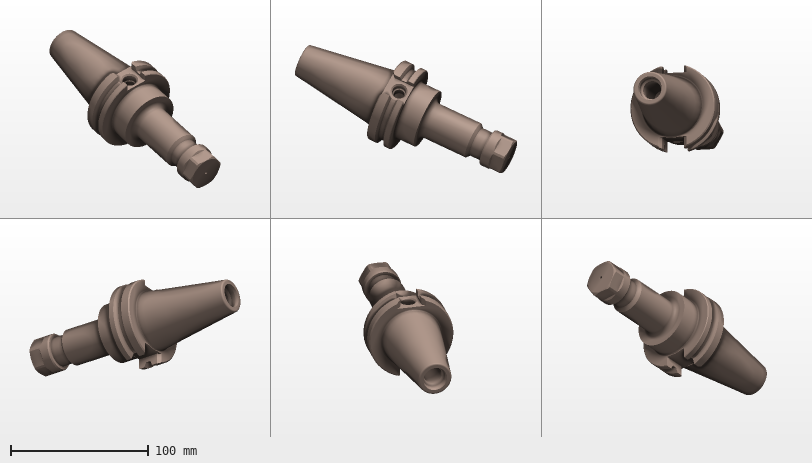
import cadquery as cq
import math

OVERALL_LENGTH = 169.9

TAPER_LENGTH = 68.1
GAUGE_DIAMETER = 44.5
TAPER_RATIO = 7 / 24
SHANK_END_FILLET = 1.4
FLANGE_ROOT_FILLET = 1.0

FLANGE_START = TAPER_LENGTH + FLANGE_ROOT_FILLET
FLANGE_END = 87.3
FLANGE_DIAMETER = 63.4
FLANGE_REAR_CHAMFER = 0.8
FLANGE_FRONT_CHAMFER = 0.5
GROOVE_DIAMETER = 56.0
GROOVE_FLOOR_START = 77.5
GROOVE_FLOOR_END = 81.0
GROOVE_REAR_RUN = 1.5
GROOVE_FRONT_RUN = 1.9

SLOT_WIDTH = 16.3
UPPER_SLOT_FLOOR = 25.0
LOWER_SLOT_FLOOR = 22.6
SLOT_MOUTH_LENGTH = 2.4
SLOT_MOUTH_WIDENING = 2.5

SLOT_HOLE_X = 79.5
SLOT_HOLE_MOUTH_DIAMETER = 12.4
SLOT_HOLE_DIAMETER = 10.2
SLOT_HOLE_DRILL_DIAMETER = 8.0
SLOT_HOLE_DEPTH = 5.6
SLOT_HOLE_DRILL_DEPTH = 11.9

COLLAR_DIAMETER = 44.5
COLLAR_END = 103.0
STEM_DIAMETER = 27.3
STEM_ROOT_FILLET = 3.4
STEM_END = 140.5
NECK_DIAMETER = 22.0
NECK_START = 142.9
NECK_END = 164.8

BORE_MOUTH_DIAMETER = 17.8
BORE_MOUTH_LENGTH = 2.0
PILOT_DIAMETER = 16.5
PILOT_END = 5.6
THREAD_BORE_DIAMETER = 13.5
THREAD_BORE_END = 42.5
COOLANT_BORE_DIAMETER = 9.7
DRILL_HALF_ANGLE = 59.0

COLLET_START = 143.5
COLLET_REAR_DIAMETER = 11.2
COLLET_HALF_ANGLE = 8.0
COLLET_NOSE_DIAMETER = 12.4
COLLET_REAR_BORE_DIAMETER = 6.1
COLLET_REAR_BORE_LENGTH = 10.2
COLLET_BORE_DIAMETER = 2.2

NUT_START = 152.2
NUT_DIAMETER = 28.0
NUT_REAR_CHAMFER_LENGTH = 1.0
NUT_REAR_CHAMFER_HEIGHT = 0.7
NUT_FRONT_CHAMFER_LENGTH = 0.8
NUT_FRONT_CHAMFER_HEIGHT = 1.7
FLAT_COUNT = 6
FLAT_START = 160.5
LONG_FLAT_INDEX = 5
LONG_FLAT_EXTRA = 1.5
FLAT_RUNOUT_LENGTH = 1.0
ACROSS_FLATS = 25.1

ARC_MIDPOINT_OFFSET = 1 - math.sqrt(0.5)
FLANGE_RADIUS = FLANGE_DIAMETER / 2
GAUGE_RADIUS = GAUGE_DIAMETER / 2
SHANK_END_RADIUS = GAUGE_RADIUS - TAPER_LENGTH * TAPER_RATIO / 2
NUT_RADIUS = NUT_DIAMETER / 2
COLLET_SEAT_RADIUS = (
    COLLET_REAR_DIAMETER / 2
    + (NECK_END - COLLET_START) * math.tan(math.radians(COLLET_HALF_ANGLE))
)


def revolve_profile(points):
    """Solid of revolution about X from a closed outline of (x, radius) points."""
    return cq.Workplane("XY").polyline(points).close().revolve(360, (0, 0, 0), (1, 0, 0))


def holder_blank():
    """Taper, flange, collar, stem and neck, without slots or bore."""
    groove_radius = GROOVE_DIAMETER / 2
    collar_radius = COLLAR_DIAMETER / 2
    stem_radius = STEM_DIAMETER / 2
    neck_radius = NECK_DIAMETER / 2
    root_offset = FLANGE_ROOT_FILLET * ARC_MIDPOINT_OFFSET
    stem_root_offset = STEM_ROOT_FILLET * ARC_MIDPOINT_OFFSET
    profile = (
        cq.Workplane("XY")
        .moveTo(0, 0)
        .lineTo(0, SHANK_END_RADIUS)
        .lineTo(TAPER_LENGTH, GAUGE_RADIUS)
        .threePointArc(
            (FLANGE_START - root_offset, GAUGE_RADIUS + root_offset),
            (FLANGE_START, GAUGE_RADIUS + FLANGE_ROOT_FILLET),
        )
        .lineTo(FLANGE_START, FLANGE_RADIUS - FLANGE_REAR_CHAMFER)
        .lineTo(FLANGE_START + FLANGE_REAR_CHAMFER, FLANGE_RADIUS)
        .lineTo(GROOVE_FLOOR_START - GROOVE_REAR_RUN, FLANGE_RADIUS)
        .lineTo(GROOVE_FLOOR_START, groove_radius)
        .lineTo(GROOVE_FLOOR_END, groove_radius)
        .lineTo(GROOVE_FLOOR_END + GROOVE_FRONT_RUN, FLANGE_RADIUS)
        .lineTo(FLANGE_END - FLANGE_FRONT_CHAMFER, FLANGE_RADIUS)
        .lineTo(FLANGE_END, FLANGE_RADIUS - FLANGE_FRONT_CHAMFER)
        .lineTo(FLANGE_END, collar_radius + FLANGE_ROOT_FILLET)
        .threePointArc(
            (FLANGE_END + root_offset, collar_radius + root_offset),
            (FLANGE_END + FLANGE_ROOT_FILLET, collar_radius),
        )
        .lineTo(COLLAR_END, collar_radius)
        .lineTo(COLLAR_END, stem_radius + STEM_ROOT_FILLET)
        .threePointArc(
            (COLLAR_END + stem_root_offset, stem_radius + stem_root_offset),
            (COLLAR_END + STEM_ROOT_FILLET, stem_radius),
        )
        .lineTo(STEM_END, stem_radius)
        .lineTo(NECK_START, neck_radius)
        .lineTo(NECK_END, neck_radius)
        .lineTo(NECK_END, 0)
        .close()
    )
    blank = profile.revolve(360, (0, 0, 0), (1, 0, 0))
    return blank.faces("<X").edges().fillet(SHANK_END_FILLET)


def drive_slot(floor_height):
    """Cutter for a slot along X with a widened mouth at the rear flange face."""
    half_width = SLOT_WIDTH / 2
    mouth_half_width = half_width + SLOT_MOUTH_WIDENING
    outline = [
        (FLANGE_START, -mouth_half_width),
        (FLANGE_START, mouth_half_width),
        (FLANGE_START + SLOT_MOUTH_LENGTH, half_width),
        (FLANGE_END, half_width),
        (FLANGE_END, -half_width),
        (FLANGE_START + SLOT_MOUTH_LENGTH, -half_width),
    ]
    return (
        cq.Workplane("XY", origin=(0, 0, floor_height))
        .polyline(outline)
        .close()
        .extrude(FLANGE_RADIUS - floor_height)
    )


def slot_hole():
    """Cutter for the countersunk, stepped blind hole with a conical tip."""
    mouth_radius = SLOT_HOLE_MOUTH_DIAMETER / 2
    hole_radius = SLOT_HOLE_DIAMETER / 2
    drill_radius = SLOT_HOLE_DRILL_DIAMETER / 2
    top = UPPER_SLOT_FLOOR
    bottom = top - SLOT_HOLE_DEPTH
    drill_bottom = top - SLOT_HOLE_DRILL_DEPTH
    outline = [
        (0, top),
        (mouth_radius, top),
        (hole_radius, top - (mouth_radius - hole_radius)),
        (hole_radius, bottom),
        (drill_radius, bottom),
        (drill_radius, drill_bottom),
        (0, drill_bottom - drill_radius / math.tan(math.radians(DRILL_HALF_ANGLE))),
    ]
    return (
        cq.Workplane("XZ", origin=(SLOT_HOLE_X, 0, 0))
        .polyline(outline)
        .close()
        .revolve(360, (0, 0, 0), (0, 1, 0))
    )


def holder_bore():
    """Cutter for the stepped bore and the conical collet seat."""
    pilot_radius = PILOT_DIAMETER / 2
    thread_radius = THREAD_BORE_DIAMETER / 2
    coolant_radius = COOLANT_BORE_DIAMETER / 2
    pilot_step = pilot_radius - thread_radius
    drill_tip = (thread_radius - coolant_radius) / math.tan(math.radians(DRILL_HALF_ANGLE))
    return revolve_profile([
        (0, 0),
        (0, BORE_MOUTH_DIAMETER / 2),
        (BORE_MOUTH_LENGTH, pilot_radius),
        (PILOT_END, pilot_radius),
        (PILOT_END + pilot_step, thread_radius),
        (THREAD_BORE_END, thread_radius),
        (THREAD_BORE_END + drill_tip, coolant_radius),
        (COLLET_START, coolant_radius),
        (COLLET_START, COLLET_REAR_DIAMETER / 2),
        (NECK_END, COLLET_SEAT_RADIUS),
        (NECK_END, 0),
    ])


def make_holder():
    upper_slot = drive_slot(UPPER_SLOT_FLOOR)
    lower_slot = drive_slot(LOWER_SLOT_FLOOR).rotate((0, 0, 0), (1, 0, 0), 180)
    return holder_blank().cut(upper_slot).cut(lower_slot).cut(slot_hole()).cut(holder_bore())


def make_collet():
    """Collet with a conical seat, a tapered nose and a stepped through bore."""
    bore_radius = COLLET_BORE_DIAMETER / 2
    rear_bore_radius = COLLET_REAR_BORE_DIAMETER / 2
    return revolve_profile([
        (COLLET_START, rear_bore_radius),
        (COLLET_START, COLLET_REAR_DIAMETER / 2),
        (NECK_END, COLLET_SEAT_RADIUS),
        (OVERALL_LENGTH, COLLET_NOSE_DIAMETER / 2),
        (OVERALL_LENGTH, bore_radius),
        (COLLET_START + COLLET_REAR_BORE_LENGTH, bore_radius),
        (COLLET_START + COLLET_REAR_BORE_LENGTH, rear_bore_radius),
    ])


def nut_blank():
    """Round nut fitted over the neck and the collet nose."""
    neck_radius = NECK_DIAMETER / 2
    return revolve_profile([
        (NUT_START, neck_radius),
        (NUT_START, NUT_RADIUS - NUT_REAR_CHAMFER_HEIGHT),
        (NUT_START + NUT_REAR_CHAMFER_LENGTH, NUT_RADIUS),
        (OVERALL_LENGTH - NUT_FRONT_CHAMFER_LENGTH, NUT_RADIUS),
        (OVERALL_LENGTH, NUT_RADIUS - NUT_FRONT_CHAMFER_HEIGHT),
        (OVERALL_LENGTH, COLLET_NOSE_DIAMETER / 2),
        (NECK_END, COLLET_SEAT_RADIUS),
        (NECK_END, neck_radius),
    ])


def flat_cutter(start):
    """Cutter for a wrench flat facing +Z that begins at x = start, with a sloped run-out at its rear."""
    flat_height = ACROSS_FLATS / 2
    outline = [
        (start, flat_height),
        (OVERALL_LENGTH, flat_height),
        (OVERALL_LENGTH, NUT_RADIUS),
        (start - FLAT_RUNOUT_LENGTH, NUT_RADIUS),
    ]
    return cq.Workplane("XZ").polyline(outline).close().extrude(NUT_RADIUS, both=True)


def make_nut():
    nut = nut_blank()
    for index in range(FLAT_COUNT):
        angle = index * 360 / FLAT_COUNT
        start = FLAT_START - LONG_FLAT_EXTRA if index == LONG_FLAT_INDEX else FLAT_START
        nut = nut.cut(flat_cutter(start).rotate((0, 0, 0), (1, 0, 0), angle))
    return nut


holder = make_holder()
collet = make_collet()
nut = make_nut()

result = cq.Compound.makeCompound([holder.solids().val(), collet.solids().val(), nut.solids().val()])